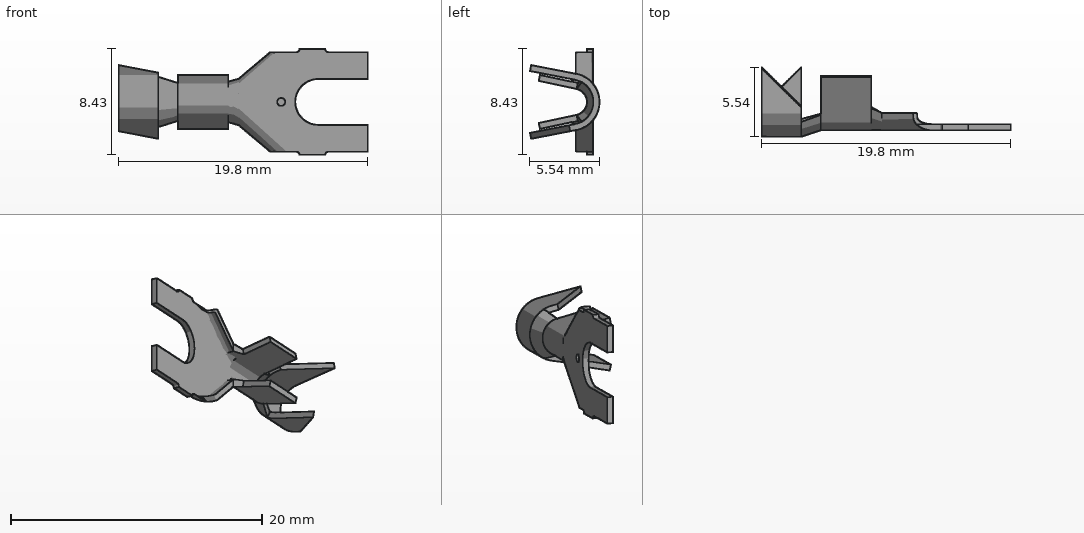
import cadquery as cq
import math

LENGTH = 19.84
SHEET = 0.5

INSULATION_END = 3.17
WIRE_START = 4.72
WIRE_END = 8.73
FORK_START = 9.56

INSULATION_BOTTOM = -0.52
INSULATION_RADIUS = 2.28
INSULATION_LEAN = 11.0
INSULATION_LEG = 3.67
INSULATION_SIDE_ANGLE = 90 - INSULATION_LEAN
FLARE_SIDE_ANGLE = 61.4

WIRE_RADIUS = 1.55
WIRE_LEAN = 12.0
WIRE_LEG = 3.08
WIRE_SIDE_ANGLE = 90 - WIRE_LEAN
NECK_LEG = 0.54
NECK_FLOOR_ANGLE = 32.0

FORK_HALF_WIDTH = 3.97
FOLD_ANGLE = 40.0
FOLD_START_Z = 0.54
BEND_RADIUS = 1.01
WALL_TOP = 1.39
WALL_CORNER_RADIUS = 0.18
SLOT_WIDTH = 3.63
SLOT_HALF_WIDTH = SLOT_WIDTH / 2
SLOT_BOTTOM = 14.07
TAB_START = 14.38
TAB_END = 16.45
WIDTH_OVER_TABS = 8.43
TAB_HEIGHT = WIDTH_OVER_TABS / 2 - FORK_HALF_WIDTH
DIMPLE_X = 12.94
DIMPLE_RADIUS = 0.32
DIMPLE_DEPTH = 0.2

FOLD_COS = math.cos(math.radians(FOLD_ANGLE))
FOLD_SIN = math.sin(math.radians(FOLD_ANGLE))
BEND_OVERRUN = 2 * BEND_RADIUS
FOLD_END_X = FORK_START + (FORK_HALF_WIDTH - FOLD_START_Z) * FOLD_COS / FOLD_SIN
BEND_SPAN = (FOLD_END_X - FORK_START) / FOLD_COS + 2 * BEND_OVERRUN


def polar(bottom, outer_radius, radius, angle):
    """(Y, Z) on a channel arc, with the angle measured from the channel's lowest point."""
    a = math.radians(angle)
    return bottom + outer_radius - radius * math.cos(a), radius * math.sin(a)


def leg_end(start, lean, length):
    """(Y, Z) at the end of a leg that leans outward from the +Y direction."""
    a = math.radians(lean)
    return start[0] + length * math.cos(a), start[1] + length * math.sin(a)


def flipped(point):
    return point[0], -point[1]


def arc_band(workplane, bottom, radius, side_angle):
    """Closed arc strip, one sheet thick, spanning side_angle either side of the bottom."""
    inner = radius - SHEET
    outer_side = polar(bottom, radius, radius, side_angle)
    inner_side = polar(bottom, radius, inner, side_angle)
    return (
        workplane.moveTo(*outer_side)
        .threePointArc((bottom, 0), flipped(outer_side))
        .lineTo(*flipped(inner_side))
        .threePointArc((bottom + SHEET, 0), inner_side)
        .close()
    )


def channel(start, end, bottom, radius, lean, leg):
    """U-shaped channel with straight legs tangent to its arc."""
    outer_side = polar(bottom, radius, radius, 90 - lean)
    inner_side = polar(bottom, radius, radius - SHEET, 90 - lean)
    outer_tip = leg_end(outer_side, lean, leg)
    inner_tip = leg_end(inner_side, lean, leg)
    return (
        cq.Workplane("YZ", origin=(start, 0, 0))
        .moveTo(*outer_tip)
        .lineTo(*outer_side)
        .threePointArc((bottom, 0), flipped(outer_side))
        .lineTo(*flipped(outer_tip))
        .lineTo(*flipped(inner_tip))
        .lineTo(*flipped(inner_side))
        .threePointArc((bottom + SHEET, 0), inner_side)
        .lineTo(*inner_tip)
        .close()
        .extrude(end - start)
    )


def leg_point_cutter(side, low_x, high_x):
    """Triangle removed from one leg: full 45 degree depth at low_x, nothing at high_x."""
    base = polar(INSULATION_BOTTOM, INSULATION_RADIUS, INSULATION_RADIUS, INSULATION_SIDE_ANGLE)
    tip_y, tip_z = leg_end(base, INSULATION_LEAN, INSULATION_LEG)
    lean = math.radians(INSULATION_LEAN)
    plane = cq.Plane(
        origin=(0, tip_y, side * tip_z),
        xDir=(1, 0, 0),
        normal=(0, math.sin(lean), -side * math.cos(lean)),
    )
    depth = side * INSULATION_END
    return (
        cq.Workplane(plane)
        .polyline([(low_x, depth), (low_x, 0), (high_x, 0)])
        .close()
        .extrude(SHEET)
    )


def insulation_crimp():
    body = channel(
        0, INSULATION_END, INSULATION_BOTTOM, INSULATION_RADIUS, INSULATION_LEAN, INSULATION_LEG
    )
    body = body.cut(leg_point_cutter(1, INSULATION_END, 0))
    return body.cut(leg_point_cutter(-1, 0, INSULATION_END))


def flare():
    """Ruled transition between the two crimp channels."""
    start = cq.Workplane("YZ", origin=(INSULATION_END, 0, 0))
    wide = arc_band(start, INSULATION_BOTTOM, INSULATION_RADIUS, FLARE_SIDE_ANGLE)
    end = wide.workplane(offset=WIRE_START - INSULATION_END)
    return arc_band(end, 0, WIRE_RADIUS, WIRE_SIDE_ANGLE).loft(ruled=True)


def neck_channel_section(workplane):
    """Wire channel with short legs, its arcs split where the fork's flat floor begins."""
    inner = WIRE_RADIUS - SHEET
    middle_angle = (NECK_FLOOR_ANGLE + WIRE_SIDE_ANGLE) / 2
    angles = (WIRE_SIDE_ANGLE, middle_angle, NECK_FLOOR_ANGLE)
    o_side, o_mid, o_floor = [polar(0, WIRE_RADIUS, WIRE_RADIUS, a) for a in angles]
    i_side, i_mid, i_floor = [polar(0, WIRE_RADIUS, inner, a) for a in angles]
    o_tip = leg_end(o_side, WIRE_LEAN, NECK_LEG)
    i_tip = leg_end(i_side, WIRE_LEAN, NECK_LEG)
    return (
        workplane.moveTo(*o_tip)
        .lineTo(*o_side)
        .threePointArc(o_mid, o_floor)
        .threePointArc((0, 0), flipped(o_floor))
        .threePointArc(flipped(o_mid), flipped(o_side))
        .lineTo(*flipped(o_tip))
        .lineTo(*flipped(i_tip))
        .lineTo(*flipped(i_side))
        .threePointArc(flipped(i_mid), flipped(i_floor))
        .threePointArc((SHEET, 0), i_floor)
        .threePointArc(i_mid, i_side)
        .lineTo(*i_tip)
        .close()
    )


def neck_fork_section(workplane):
    """Fork sheet cut square to X: the slanted bends appear as quarter ellipses."""
    inner = BEND_RADIUS - SHEET
    o_wide = BEND_RADIUS / FOLD_COS
    i_wide = inner / FOLD_COS
    o_z = FOLD_START_Z + o_wide
    i_z = FOLD_START_Z + i_wide
    return (
        workplane.moveTo(WALL_TOP, o_z)
        .lineTo(BEND_RADIUS, o_z)
        .ellipseArc(BEND_RADIUS, o_wide, 90, 180, sense=1)
        .lineTo(0, -FOLD_START_Z)
        .ellipseArc(BEND_RADIUS, o_wide, 180, 270, sense=1)
        .lineTo(WALL_TOP, -o_z)
        .lineTo(WALL_TOP, -i_z)
        .lineTo(BEND_RADIUS, -i_z)
        .ellipseArc(inner, i_wide, 180, 270, sense=-1)
        .lineTo(SHEET, FOLD_START_Z)
        .ellipseArc(inner, i_wide, 90, 180, sense=-1)
        .lineTo(WALL_TOP, i_z)
        .close()
    )


def neck():
    """Ruled transition from the wire channel to the folded fork sheet."""
    start = neck_channel_section(cq.Workplane("YZ", origin=(WIRE_END, 0, 0)))
    return neck_fork_section(start.workplane(offset=FORK_START - WIRE_END)).loft(ruled=True)


def fork_plate():
    """Flat fork blade with its slot, side tabs and dimple."""
    slot_center = SLOT_BOTTOM + SLOT_HALF_WIDTH
    slot_tool = (
        cq.Workplane("XZ")
        .moveTo(LENGTH, SLOT_HALF_WIDTH)
        .lineTo(slot_center, SLOT_HALF_WIDTH)
        .threePointArc((SLOT_BOTTOM, 0), (slot_center, -SLOT_HALF_WIDTH))
        .lineTo(LENGTH, -SLOT_HALF_WIDTH)
        .close()
        .extrude(-SHEET)
    )
    plate = (
        cq.Workplane("XZ")
        .moveTo(FORK_START, FOLD_START_Z)
        .lineTo(FOLD_END_X, FORK_HALF_WIDTH)
        .lineTo(LENGTH, FORK_HALF_WIDTH)
        .lineTo(LENGTH, -FORK_HALF_WIDTH)
        .lineTo(FOLD_END_X, -FORK_HALF_WIDTH)
        .lineTo(FORK_START, -FOLD_START_Z)
        .close()
        .extrude(-SHEET)
        .cut(slot_tool)
    )
    tab_top = FORK_HALF_WIDTH + TAB_HEIGHT
    tab = (
        cq.Workplane("XZ")
        .moveTo(TAB_START - TAB_HEIGHT, FORK_HALF_WIDTH)
        .radiusArc((TAB_START, tab_top), -TAB_HEIGHT)
        .lineTo(TAB_END, tab_top)
        .radiusArc((TAB_END + TAB_HEIGHT, FORK_HALF_WIDTH), -TAB_HEIGHT)
        .close()
        .extrude(-SHEET)
    )
    dimple = cq.Workplane("XZ").center(DIMPLE_X, 0).circle(DIMPLE_RADIUS).extrude(-DIMPLE_DEPTH)
    return plate.union(tab).union(tab.mirror("XY")).cut(dimple)


def fold_point(along, out, y):
    """Point at a distance along the +Z fold line, a distance out from it, and a height Y."""
    return cq.Vector(
        FORK_START + along * FOLD_COS - out * FOLD_SIN,
        y,
        FOLD_START_Z + along * FOLD_SIN + out * FOLD_COS,
    )


def region(start_x, y_min, y_max):
    """Box beyond start_x that stops at the blade's +Z edge line."""
    return cq.Workplane("XY").box(
        LENGTH, y_max - y_min, FORK_HALF_WIDTH, centered=False
    ).translate((start_x, y_min, 0))


def bend():
    """Quarter bend of the sheet along the +Z fold line."""
    diagonal = BEND_RADIUS * math.sqrt(0.5)
    outer_arc = cq.Edge.makeThreePointArc(
        fold_point(-BEND_OVERRUN, 0, 0),
        fold_point(-BEND_OVERRUN, diagonal, BEND_RADIUS - diagonal),
        fold_point(-BEND_OVERRUN, BEND_RADIUS, BEND_RADIUS),
    )
    travel = fold_point(BEND_SPAN, 0, 0) - fold_point(0, 0, 0)
    skin = cq.Face.makeRuledSurface(outer_arc, outer_arc.translate(travel))

    trim = region(FORK_START - BEND_OVERRUN, -SHEET, WALL_TOP)
    trimmed = skin.intersect(trim.val()).Faces()[0]
    inward = math.copysign(SHEET, trimmed.normalAt().y)
    curved = cq.Workplane(trimmed.thicken(inward))

    axis = fold_point(-BEND_OVERRUN, 0, BEND_RADIUS)
    section = cq.Wire.assembleEdges([
        outer_arc,
        cq.Edge.makeLine(outer_arc.endPoint(), axis),
        cq.Edge.makeLine(axis, outer_arc.startPoint()),
    ])
    sector = cq.Workplane(cq.Solid.extrudeLinear(section, [], travel))
    return curved.union(sector.intersect(region(FORK_START, 0, SHEET)))


def straight_wall():
    """Upright wall above the bend, with a rounded corner at its outer end."""
    origin = fold_point(0, BEND_RADIUS, BEND_RADIUS)
    height = WALL_TOP - BEND_RADIUS
    end = (FORK_HALF_WIDTH - origin.z) / FOLD_SIN
    plane = cq.Plane(
        origin=origin.toTuple(),
        xDir=(FOLD_COS, 0, FOLD_SIN),
        normal=(-FOLD_SIN, 0, FOLD_COS),
    )
    return (
        cq.Workplane(plane)
        .moveTo(-BEND_OVERRUN, 0)
        .lineTo(end, 0)
        .lineTo(end, height - WALL_CORNER_RADIUS)
        .radiusArc((end - WALL_CORNER_RADIUS, height), -WALL_CORNER_RADIUS)
        .lineTo(-BEND_OVERRUN, height)
        .close()
        .extrude(-SHEET)
    )


def side_wall():
    """Bent-up wall on the +Z side, starting flush with the end of the neck."""
    return bend().union(straight_wall()).intersect(region(FORK_START, 0, WALL_TOP))


wall = side_wall()
result = (
    insulation_crimp()
    .union(flare())
    .union(channel(WIRE_START, WIRE_END, 0, WIRE_RADIUS, WIRE_LEAN, WIRE_LEG))
    .union(neck())
    .union(fork_plate())
    .union(wall)
    .union(wall.mirror("XY"))
)